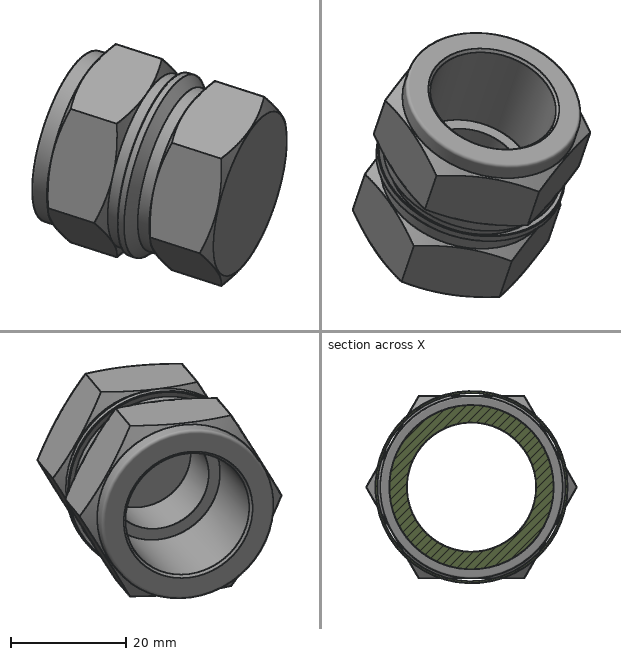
import cadquery as cq
import math

total_length = 34.75

collar_diameter = 31.2
collar_length = 3.05
collar_fillet = 0.55
nut_corners = 36.6
nut_flats = nut_corners * math.cos(math.pi / 6)
nut_hex_end = 14.85
tail_end = 16.87
tail_diameter = nut_flats
tail_fillet = 0.3

groove_diameter = 28.6
flange_start = 17.15
flange_end = 18.4
flange_diameter = 33.4
flange_rim = 0.22
seat_angle = math.radians(45)
cone_end = 20.2
neck_diameter = 29.9
body_hex_start = 22.4
body_flats = 30.23
body_corners = body_flats / math.cos(math.pi / 6)

corner_angle = math.radians(30)

bore_diameter = 22.4
bore_depth = 18.3
bore_chamfer = 0.48
inner_bore_diameter = 18.3
inner_bore_depth = 29.28


def revolve_profile(points):
    """Turn (x, radius) points, closed along the axis, around the X axis."""
    return cq.Workplane("XY").polyline(points).close().revolve(360, (0, 0, 0), (1, 0, 0))


def cylinder(start, end, diameter):
    return cq.Workplane("YZ", origin=(start, 0, 0)).circle(diameter / 2).extrude(end - start)


def turned_hexagon(start, end, corners, start_diameter, end_diameter):
    """Hexagon with corners on the Y axis, chamfered from a circle at each end face."""
    prism = cq.Workplane("YZ", origin=(start, 0, 0)).polygon(6, corners).extrude(end - start)
    start_run = (corners - start_diameter) / 2 * math.tan(corner_angle)
    end_run = (corners - end_diameter) / 2 * math.tan(corner_angle)
    envelope = revolve_profile([
        (start, 0),
        (start, start_diameter / 2),
        (start + start_run, corners / 2),
        (end - end_run, corners / 2),
        (end, end_diameter / 2),
        (end, 0),
    ])
    return prism.intersect(envelope)


def make_nut():
    collar = cylinder(0, collar_length, collar_diameter).faces("<X").edges().fillet(collar_fillet)
    hexagon = turned_hexagon(collar_length, nut_hex_end, nut_corners, collar_diameter, tail_diameter)
    tail = cylinder(nut_hex_end, tail_end, tail_diameter).faces(">X").edges().fillet(tail_fillet)
    return collar.union(hexagon).union(tail)


def make_body():
    seat_radius = flange_diameter / 2 - flange_rim
    seat_depth = (seat_radius - groove_diameter / 2) / math.tan(seat_angle)
    turned = revolve_profile([
        (tail_end, 0),
        (tail_end, groove_diameter / 2),
        (flange_start + seat_depth, groove_diameter / 2),
        (flange_start, seat_radius),
        (flange_start, flange_diameter / 2),
        (flange_end, flange_diameter / 2),
        (cone_end, neck_diameter / 2),
        (body_hex_start, neck_diameter / 2),
        (body_hex_start, 0),
    ])
    hexagon = turned_hexagon(body_hex_start, total_length, body_corners, neck_diameter, neck_diameter)
    return turned.union(hexagon)


def make_bore():
    bore_radius = bore_diameter / 2
    inner_radius = inner_bore_diameter / 2
    return revolve_profile([
        (0, 0),
        (0, bore_radius + bore_chamfer),
        (bore_chamfer, bore_radius),
        (bore_depth, bore_radius),
        (bore_depth, inner_radius),
        (inner_bore_depth, inner_radius),
        (inner_bore_depth, 0),
    ])


result = make_nut().union(make_body()).cut(make_bore())